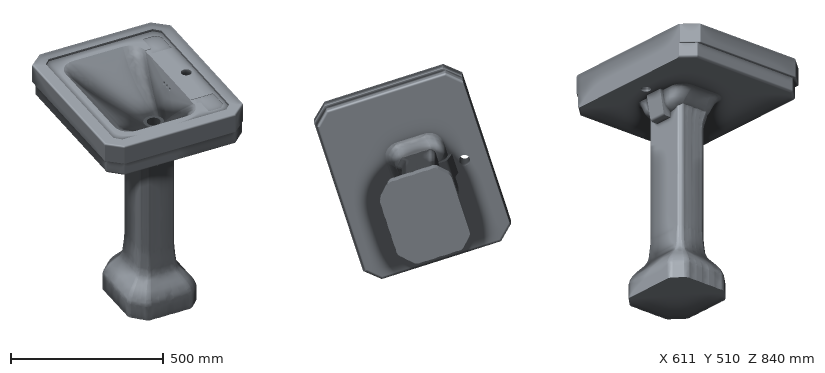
import cadquery as cq
import math


total_height = 840.0
rim_width = 611.0
rim_depth = 510.0
rim_bottom = 770.0
step_bottom = 718.0
rim_corner_x = 44.5
rim_corner_y = 50.0
step_inset_side = 9.0
step_inset_front = 9.0
step_corner_x = 42.0
step_corner_y = 45.0
top_rounding = 6.0
rim_under_rounding = 2.5
step_under_rounding = 8.0
half_width = rim_width / 2
back = rim_depth / 2
front = -back

deck_half_width = 264.0
deck_half_depth = 213.0
deck_corner = 22.0
deck_depth = 8.0
deck_height = total_height - deck_depth

bowl_half_width = 228.5
bowl_front = -175.5
bowl_back = 118.5
bowl_corner = 55.0
bowl_middle_height = 756.0
bowl_middle_half_width = 136.0
bowl_middle_front = -89.0
bowl_middle_back = 99.0
bowl_middle_corner = 42.0

drain_y = 60.0
drain_seat_radius = 34.5
drain_corner_angle = 26.0
drain_radius = 23.0
drain_height = 674.0

tap_y = 180.0
tap_radius = 18.0

overflow_count = 3
overflow_pitch = 20.0
overflow_radius = 5.0
overflow_height = 799.0
overflow_start_y = 92.0
overflow_end_y = 126.0

dish_depth = 2.0
dish_inner_x = 149.5
dish_channel_x = 175.5
dish_outer_x = 237.0
dish_front = 141.0
dish_back = 202.5
dish_corner = 17.0
dish_rounding = 4.0
dish_overrun = 2.5

shell_sections = [
    (640.0, 46.0, 4.0, 92.0, 25.0),
    (651.0, 64.0, -21.0, 106.0, 29.0),
    (665.0, 80.0, -36.0, 122.0, 34.0),
    (689.0, 98.0, -45.0, 129.0, 42.0),
    (708.0, 111.0, -55.0, 132.0, 50.0),
    (step_bottom, 125.0, -67.0, 133.0, 50.0),
]

duct_half_width = 34.0
duct_bottom = 628.0
duct_back_top = 147.0
duct_back_bottom = 130.0
duct_rounding = 10.0

foot_half_width = 144.5
foot_front = -83.0
foot_back = 166.0
foot_front_corner = 49.5
foot_back_corner = 41.0
foot_corner_reach = 10.0
foot_height = 54.0
shaft_half_width = 81.0
shaft_front = -20.0
shaft_back = 101.0
shaft_front_corner = 23.5
shaft_back_corner = 12.0
shaft_corner_reach = 4.0
shaft_bottom = 218.0
shaft_top = 605.0
front_flutes = 4
side_flutes = 3
chamfer_flutes = 2
flute_share = 0.55
flute_depth_share = 0.04
straight_sections = 8
foot_blend = [
    (foot_height, 1.0),
    (76.0, 0.89),
    (102.5, 0.59),
    (134.0, 0.19),
    (176.0, 0.05),
    (shaft_bottom, 0.0),
]
flare_steps = [
    (shaft_top, 0.0),
    (634.0, 6.0),
    (670.0, 17.0),
]

near = 1.0


def cornered_plate(half_x, y_front, y_back, corner_x, corner_y, z_low, z_high):
    """Rectangular plate with its four corners cut off."""
    outline = [
        (half_x - corner_x, y_front),
        (half_x, y_front + corner_y),
        (half_x, y_back - corner_y),
        (half_x - corner_x, y_back),
        (corner_x - half_x, y_back),
        (-half_x, y_back - corner_y),
        (-half_x, y_front + corner_y),
        (corner_x - half_x, y_front),
    ]
    return cq.Workplane("XY", origin=(0, 0, z_low)).polyline(outline).close().extrude(z_high - z_low)


def rounded_section(height, half_x, y_front, y_back, radius):
    """Horizontal rounded rectangle, as a wire for lofting."""
    diagonal = radius * math.sqrt(0.5)
    inner_x = half_x - radius
    inner_front = y_front + radius
    inner_back = y_back - radius
    wire = (
        cq.Workplane("XY", origin=(0, 0, height))
        .moveTo(-inner_x, y_front)
        .lineTo(inner_x, y_front)
        .threePointArc((inner_x + diagonal, inner_front - diagonal), (half_x, inner_front))
        .lineTo(half_x, inner_back)
        .threePointArc((inner_x + diagonal, inner_back + diagonal), (inner_x, y_back))
        .lineTo(-inner_x, y_back)
        .threePointArc((-inner_x - diagonal, inner_back + diagonal), (-half_x, inner_back))
        .lineTo(-half_x, inner_front)
        .threePointArc((-inner_x - diagonal, inner_front - diagonal), (-inner_x, y_front))
        .close()
    )
    return wire.val()


def circular_section(height, y_center, radius, corner_angle):
    """Circle split like a rounded rectangle: four side arcs and four arcs of corner_angle degrees."""

    def point(angle):
        turn = math.radians(angle)
        return (radius * math.cos(turn), y_center + radius * math.sin(turn))

    side_angle = 90 - corner_angle
    angle = -90 - side_angle / 2
    wire = cq.Workplane("XY", origin=(0, 0, height)).moveTo(*point(angle))
    for span in [side_angle, corner_angle] * 4:
        wire = wire.threePointArc(point(angle + span / 2), point(angle + span))
        angle += span
    return wire.wire().val()


def loft(wires):
    return cq.Workplane(obj=cq.Solid.makeLoft(wires))


def make_slab():
    not_back = cq.selectors.BoxSelector(
        (-rim_width, front - near, 0), (rim_width, back - near, total_height + near)
    )
    rim = cornered_plate(half_width, front, back, rim_corner_x, rim_corner_y, rim_bottom, total_height)
    rim = rim.faces(">Z").edges(not_back).fillet(top_rounding)
    rim = rim.faces("<Z").edges(not_back).fillet(rim_under_rounding)
    step = cornered_plate(
        half_width - step_inset_side, front + step_inset_front, back,
        step_corner_x, step_corner_y, step_bottom, rim_bottom,
    )
    step = step.faces("<Z").edges(not_back).fillet(step_under_rounding)
    return rim.union(step)


def make_shell():
    """Solid underside of the bowl, below the slab."""
    return loft([rounded_section(*section) for section in shell_sections])


def make_duct():
    profile = [
        (shaft_back, step_bottom),
        (duct_back_top, step_bottom),
        (duct_back_bottom, duct_bottom),
        (shaft_back, duct_bottom),
    ]
    duct = cq.Workplane("YZ").polyline(profile).close().extrude(duct_half_width, both=True)
    return duct.faces(">Y").edges("<Z").fillet(duct_rounding)


def make_bowl_cavity():
    rim = rounded_section(deck_height, bowl_half_width, bowl_front, bowl_back, bowl_corner)
    middle = rounded_section(
        bowl_middle_height, bowl_middle_half_width, bowl_middle_front, bowl_middle_back, bowl_middle_corner
    )
    seat = circular_section(drain_height, drain_y, drain_seat_radius, drain_corner_angle)
    return loft([seat, middle, rim])


def make_soap_dish():
    """Dish on the +X side."""
    outline = [
        (dish_inner_x, bowl_back - dish_overrun),
        (dish_inner_x, dish_back),
        (dish_outer_x - dish_corner, dish_back),
        (dish_outer_x, dish_back - dish_corner),
        (dish_outer_x, dish_front),
        (dish_channel_x, dish_front),
        (dish_channel_x, bowl_back - dish_overrun),
    ]
    floor = cq.Workplane("XY", origin=(0, 0, deck_height - dish_depth))
    dish = floor.polyline(outline).close().extrude(dish_depth)
    rounded_corners = cq.selectors.BoxSelector(
        (dish_channel_x - near, dish_front - near, 0), (dish_outer_x + near, dish_front + near, total_height)
    )
    return dish.edges("|Z").edges(rounded_corners).fillet(dish_rounding)


def make_overflow_holes():
    length = overflow_end_y - overflow_start_y
    first_x = -overflow_pitch * (overflow_count - 1) / 2
    holes = cq.Workplane("XY")
    for i in range(overflow_count):
        start = cq.Vector(first_x + i * overflow_pitch, overflow_start_y, overflow_height)
        holes = holes.add(cq.Solid.makeCylinder(overflow_radius, length, start, cq.Vector(0, 1, 0)))
    return holes.combine()


def vertical_hole(y, radius):
    return cq.Workplane("XY").center(0, y).circle(radius).extrude(total_height)


def make_basin():
    basin = make_slab().union(make_shell()).union(make_duct())
    deck = cornered_plate(
        deck_half_width, -deck_half_depth, deck_half_depth,
        deck_corner, deck_corner, deck_height, total_height,
    )
    dish = make_soap_dish()
    basin = basin.cut(deck).cut(make_bowl_cavity())
    basin = basin.cut(dish).cut(dish.mirror("YZ"))
    basin = basin.cut(make_overflow_holes())
    basin = basin.cut(vertical_hole(tap_y, tap_radius))
    return basin.cut(vertical_hole(drain_y, drain_radius))


def fluted_side(start, end, flute_count):
    """Edges from start to end: shallow hollow flutes, equally spaced, with flat ridges between."""
    if flute_count == 0:
        return [cq.Edge.makeLine(start, end)]
    along = (end - start).normalized()
    inward = cq.Vector(-along.y, along.x, 0)
    pitch = (end - start).Length / (flute_count - 1 + flute_share)
    flute_width = pitch * flute_share
    edges = []
    for i in range(flute_count):
        flute_start = start + along * (pitch * i)
        flute_end = flute_start + along * flute_width
        deepest = (flute_start + flute_end) * 0.5 + inward * (flute_width * flute_depth_share)
        if i > 0:
            edges.append(cq.Edge.makeLine(edges[-1].endPoint(), flute_start))
        edges.append(cq.Edge.makeThreePointArc(flute_start, deepest, flute_end))
    return edges


def pedestal_section(height, foot_share, flare=0.0):
    """Fluted eight-sided outline between the shaft (share 0) and the foot (share 1)."""

    def mix(shaft_size, foot_size):
        return shaft_size + (foot_size - shaft_size) * foot_share

    half_x = mix(shaft_half_width, foot_half_width)
    y_front = mix(shaft_front, foot_front) - flare
    y_back = mix(shaft_back, foot_back)
    front_corner = mix(shaft_front_corner, foot_front_corner)
    back_corner = mix(shaft_back_corner, foot_back_corner)
    sides = [
        ((half_x - front_corner, y_front), chamfer_flutes),
        ((half_x, y_front + front_corner), side_flutes),
        ((half_x, y_back - back_corner), 0),
        ((half_x - back_corner, y_back), 0),
        ((back_corner - half_x, y_back), 0),
        ((-half_x, y_back - back_corner), side_flutes),
        ((-half_x, y_front + front_corner), chamfer_flutes),
        ((front_corner - half_x, y_front), front_flutes),
    ]
    corners = [cq.Vector(x, y, height) for (x, y), _ in sides]
    corner_reach = mix(shaft_corner_reach, foot_corner_reach)
    edges = []
    for i, (_, flute_count) in enumerate(sides):
        corner = corners[i]
        next_corner = corners[(i + 1) % len(corners)]
        after_next = corners[(i + 2) % len(corners)]
        reach = (next_corner - corner).normalized() * corner_reach
        reach_after = (after_next - next_corner).normalized() * corner_reach
        side_end = next_corner - reach
        edges += fluted_side(corner + reach, side_end, flute_count)
        edges.append(cq.Edge.makeTangentArc(side_end, reach, next_corner + reach_after))
    return cq.Wire.assembleEdges(edges)


def make_pedestal():
    foot_step = foot_height / straight_sections
    shaft_step = (shaft_top - shaft_bottom) / straight_sections
    wires = [pedestal_section(i * foot_step, 1.0) for i in range(straight_sections)]
    wires += [pedestal_section(height, share) for height, share in foot_blend]
    wires += [pedestal_section(shaft_bottom + i * shaft_step, 0.0) for i in range(1, straight_sections)]
    wires += [pedestal_section(height, 0.0, flare) for height, flare in flare_steps]
    return loft(wires).cut(make_shell())


basin = make_basin()
pedestal = make_pedestal()
result = cq.Compound.makeCompound([basin.val(), pedestal.val()])